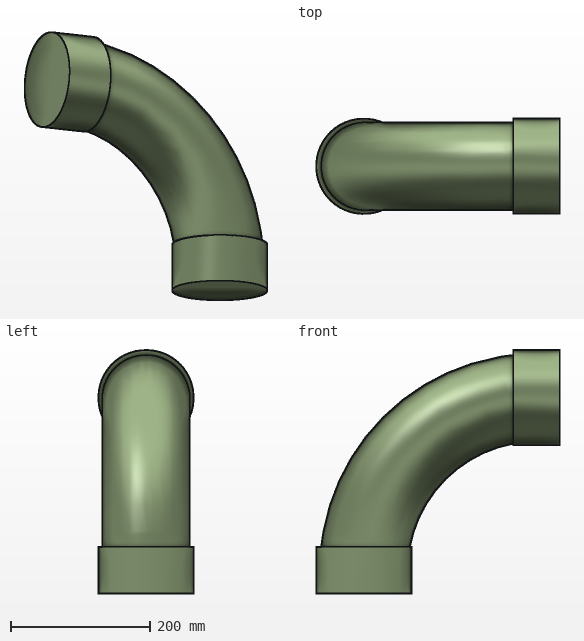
import cadquery as cq

overall = 349.5
socket_diameter = 137.0
socket_length = 67.0
pipe_diameter = 126.0
pipe_insertion = socket_length / 2

socket_radius = socket_diameter / 2
centre_height = overall - socket_radius
socket_inner_end = centre_height - socket_length
bend_start_height = socket_length - pipe_insertion
bend_radius = centre_height - bend_start_height


def make_bend():
    """Quarter-turn pipe whose two ends are sunk into the sockets."""
    section = cq.Workplane("XY", origin=(0, 0, bend_start_height)).circle(pipe_diameter / 2)
    return section.revolve(90, (bend_radius, 0, 0), (bend_radius, 1, 0))


def make_lower_socket():
    """Vertical socket whose end face lies on Z = 0."""
    return cq.Workplane("XY").circle(socket_radius).extrude(socket_length)


def make_upper_socket():
    """Horizontal socket at the +X end of the bend."""
    base = cq.Workplane("YZ", origin=(socket_inner_end, 0, centre_height))
    return base.circle(socket_radius).extrude(socket_length)


result = make_bend().union(make_lower_socket()).union(make_upper_socket())